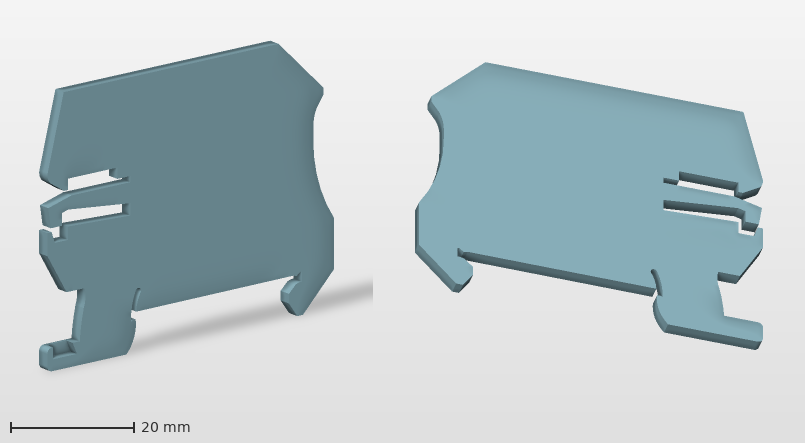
import cadquery as cq

THICKNESS = 2.2
LENGTH = 58.35
HEIGHT = 46.85

RAIL_SEAT = 6.9
RAIL_SEAT_AT_HOOK = 7.0
FOOT_TOP = 4.0
FOOT_CORNER_RADIUS = 0.95

POCKET_WALL = 0.5
POCKET_START = 53.2
POCKET_END = 57.25
POCKET_DEPTH = 2.05
POCKET_UNDERCUT = 0.9

SLOT_END = 41.4
SLOT_STEP = 54.15
UPPER_SLOT_TOP = 30.1
UPPER_SLOT_BOTTOM = 29.05
RECESS_START = 44.1
RECESS_TOP = 32.05
TONGUE_CATCH = 55.4
TONGUE_TIP = 24.3
CATCH_FLOOR = 21.65
CATCH_TOP = 23.6
SHOULDER_HEIGHT = 12.85

HOOK_INNER = 6.55
HOOK_TIP = 9.15
SIDE_NOTCH = 2.1


def at(distance, height):
    """Outline point in the YZ plane, centred along Y."""
    return (LENGTH / 2 - distance, height)


def lines(outline, *points):
    """Extend the outline with straight edges through the points."""
    for point in points:
        outline = outline.lineTo(*at(*point))
    return outline


def arc(outline, middle, end):
    """Extend the outline with an arc through middle to end."""
    return outline.threePointArc(at(*middle), at(*end))


def add_top(outline):
    """Concave side face, sloping shoulder, top edge and rounded nose."""
    outline = lines(outline, (0, 15.3))
    outline = arc(outline, (3.1, 21.8), (4.2, 29.45))
    outline = lines(outline, (4.2, 31.5))
    outline = arc(outline, (4.0, 33.0), (3.5, 34.55))
    outline = lines(outline, (SIDE_NOTCH, 36.6), (SIDE_NOTCH, 37.7))
    outline = lines(outline, (11.25, HEIGHT), (55.0, HEIGHT), (58.25, 33.9))
    return arc(outline, (58.3, 32.9), (57.75, 31.9))


def add_slots(outline):
    """Upper slot with recess, hooked tongue, tapered lower slot and catch."""
    outline = lines(
        outline,
        (54.95, UPPER_SLOT_TOP),
        (SLOT_STEP, UPPER_SLOT_TOP),
        (SLOT_STEP, RECESS_TOP),
        (RECESS_START, RECESS_TOP),
        (RECESS_START, UPPER_SLOT_TOP),
        (SLOT_END, UPPER_SLOT_TOP),
        (SLOT_END, UPPER_SLOT_BOTTOM),
        (53.45, UPPER_SLOT_BOTTOM),
        (58.2, 27.8),
        (57.65, TONGUE_TIP),
        (TONGUE_CATCH, TONGUE_TIP),
        (TONGUE_CATCH, 26.45),
        (SLOT_STEP, 26.8),
    )
    return lines(
        outline,
        (SLOT_END, 25.5),
        (SLOT_END, 23.4),
        (SLOT_STEP, 23.9),
        (SLOT_STEP, CATCH_FLOOR),
        (56.85, CATCH_FLOOR),
        (57.5, CATCH_TOP),
        (LENGTH, CATCH_TOP),
    )


def add_spring_foot(outline):
    """Springy rail foot with its release tab and curved relief slit."""
    outline = lines(outline, (LENGTH, 19.65), (54.45, SHOULDER_HEIGHT), (50.75, SHOULDER_HEIGHT))
    outline = arc(outline, (50.6, 11.25), (50.95, 9.5))
    outline = arc(outline, (51.45, 6.7), (51.75, FOOT_TOP))
    outline = lines(outline, (LENGTH, FOOT_TOP), (LENGTH, 0), (42.25, 0))
    outline = arc(outline, (40.8, 2.35), (40.3, 4.95))
    outline = lines(outline, (40.4, 5.6), (40.95, 5.6), (41.3, 5.4))
    outline = arc(outline, (41.1, 8.2), (40.4, 10.45))
    outline = arc(outline, (39.7, 10.8), (39.3, 10.1))
    outline = arc(outline, (39.95, 8.6), (40.25, RAIL_SEAT))
    return outline


def add_fixed_hook(outline):
    """Rigid hook gripping the other rail edge."""
    outline = lines(outline, (8.2, RAIL_SEAT_AT_HOOK), (7.6, 6.8), (6.8, 7.4), (HOOK_INNER, 7.4))
    outline = lines(outline, (HOOK_INNER, 5.65))
    outline = arc(outline, (7.25, 5.6), (7.8, 5.35))
    return lines(outline, (HOOK_TIP, 4.1), (HOOK_TIP, 2.45), (7.45, 0), (6.3, 0))


def tab_pocket():
    """Pocket whose inner end wall slopes under the top of the tab."""
    floor = FOOT_TOP - POCKET_DEPTH
    profile = cq.Workplane("YZ", origin=(POCKET_WALL, 0, 0)).moveTo(*at(POCKET_START, FOOT_TOP))
    profile = lines(
        profile,
        (POCKET_START - POCKET_UNDERCUT, floor),
        (POCKET_END, floor),
        (POCKET_END, FOOT_TOP),
    )
    return profile.close().extrude(THICKNESS - POCKET_WALL)


outline = cq.Workplane("YZ").moveTo(*at(0, 6.55))
outline = add_top(outline)
outline = add_slots(outline)
outline = add_spring_foot(outline)
outline = add_fixed_hook(outline)
plate = outline.close().extrude(THICKNESS)

tab_end = -LENGTH / 2
tab_corners = cq.selectors.BoxSelector(
    (-0.6, tab_end - 0.6, -0.6),
    (THICKNESS + 0.6, tab_end + 0.6, FOOT_TOP + 0.6),
)
plate = plate.edges("|X").edges(tab_corners).fillet(FOOT_CORNER_RADIUS)
result = plate.cut(tab_pocket())